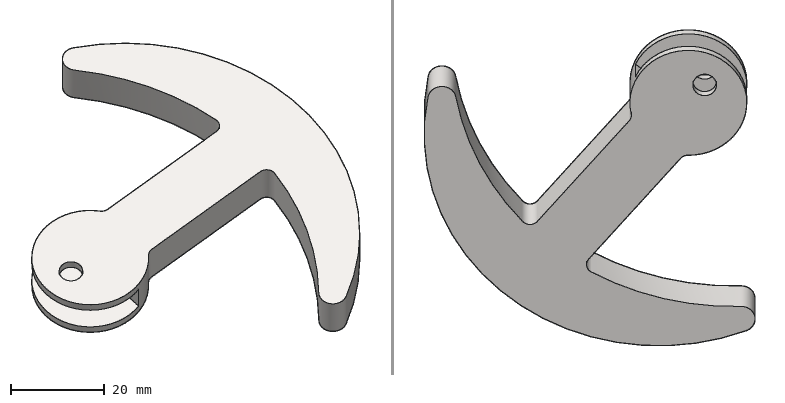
import cadquery as cq
import math

overall_width = 88.3
overall_length = 72.3
thickness = 10.0
outer_radius = 50.0
inner_radius = 60.0
tip_radius = 3.0
stem_width = 14.1
disc_radius = 12.45
corner_radius = 2.0
hole_diameter = 5.0
hole_offset = 5.5
slot_height = 6.0
slot_depth = 15.5

tip_x = overall_width / 2 - tip_radius
tip_y = math.sqrt((outer_radius - tip_radius) ** 2 - tip_x**2)
inner_center_y = tip_y - math.sqrt((inner_radius + tip_radius) ** 2 - tip_x**2)
inner_top_y = inner_center_y + inner_radius

free_end_y = outer_radius - overall_length
disc_y = free_end_y + disc_radius
bottom_z = -thickness / 2


def make_crescent():
    """Crescent head bounded by two arcs, with round tips."""
    outer_scale = outer_radius / (outer_radius - tip_radius)
    outer_x = tip_x * outer_scale
    outer_y = tip_y * outer_scale
    inner_scale = inner_radius / (inner_radius + tip_radius)
    inner_x = tip_x * inner_scale
    inner_y = inner_center_y + (tip_y - inner_center_y) * inner_scale
    tip_bottom_y = tip_y - tip_radius
    return (
        cq.Workplane("XY", origin=(0, 0, bottom_z))
        .moveTo(-outer_x, outer_y)
        .threePointArc((0, outer_radius), (outer_x, outer_y))
        .threePointArc((tip_x, tip_bottom_y), (inner_x, inner_y))
        .threePointArc((0, inner_top_y), (-inner_x, inner_y))
        .threePointArc((-tip_x, tip_bottom_y), (-outer_x, outer_y))
        .close()
        .extrude(thickness)
    )


def make_stem():
    """Straight bar from the disc centre into the middle of the crescent."""
    stem_top_y = (inner_top_y + outer_radius) / 2
    return (
        cq.Workplane("XY", origin=(0, (disc_y + stem_top_y) / 2, 0))
        .box(stem_width, stem_top_y - disc_y, thickness)
    )


def make_disc():
    """Round end of the stem."""
    return (
        cq.Workplane("XY", origin=(0, disc_y, bottom_z))
        .circle(disc_radius)
        .extrude(thickness)
    )


def round_stem_corners(body):
    """Fillet the four inside corners where the stem meets the crescent and the disc."""
    half_stem = stem_width / 2
    crescent_corner_y = inner_center_y + math.sqrt(inner_radius**2 - half_stem**2)
    disc_corner_y = disc_y + math.sqrt(disc_radius**2 - half_stem**2)
    for side in (-1, 1):
        for corner_y in (crescent_corner_y, disc_corner_y):
            corner = cq.selectors.NearestToPointSelector((side * half_stem, corner_y, 0))
            body = body.edges("|Z").edges(corner).fillet(corner_radius)
    return body


def make_slot():
    """Flat-bottomed slot that splits the disc into two fork plates."""
    return (
        cq.Workplane("XY", origin=(0, free_end_y + slot_depth / 2, 0))
        .box(2 * disc_radius, slot_depth, slot_height)
    )


def make_pin_hole():
    """Pin hole through both fork plates."""
    return (
        cq.Workplane("XY", origin=(0, disc_y - hole_offset, bottom_z))
        .circle(hole_diameter / 2)
        .extrude(thickness)
    )


body = make_crescent().union(make_stem()).union(make_disc())
body = round_stem_corners(body)
result = body.cut(make_slot()).cut(make_pin_hole())